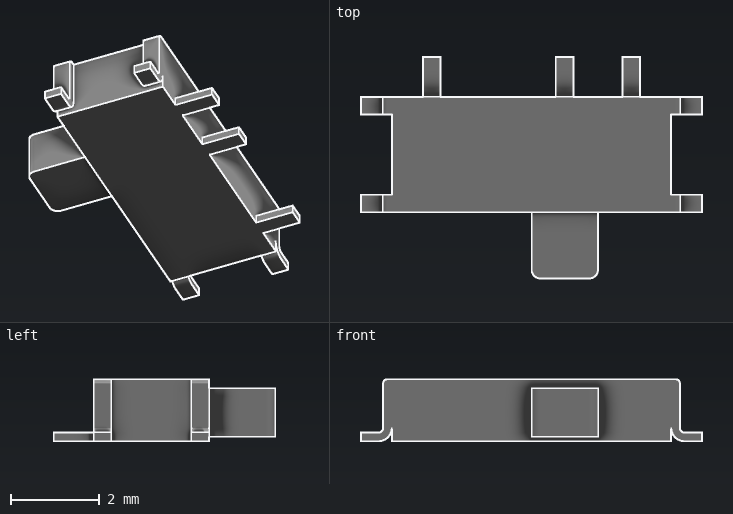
import cadquery as cq

total_length = 7.7
total_depth = 5.0
height = 1.4

sheet_thickness = 0.2
strip_width = 0.4
inner_bend_radius = 0.1
outer_bend_radius = inner_bend_radius + sheet_thickness

foot_length = 0.5
leg_outer_x = total_length / 2 - foot_length
housing_half_length = leg_outer_x - sheet_thickness
housing_depth = 2.6
top_corner_radius = 0.1

terminal_length = 0.9
outer_terminal_x = 2.25
inner_terminal_x = 0.75
terminal_positions = (-outer_terminal_x, inner_terminal_x, outer_terminal_x)

knob_width = 1.5
knob_height = 1.1
knob_bottom = 0.1
knob_length = total_depth - housing_depth - terminal_length
knob_corner_radius = 0.2

front_y = -housing_depth / 2
back_y = housing_depth / 2


def block(x, y, z, length, depth, tall):
    """Box placed by its lowest corner."""
    return cq.Workplane("XY").box(length, depth, tall, centered=False).translate((x, y, z))


def right_leg(start_y):
    """Strip running down the right end of the housing and bending out into a foot."""
    bend_x = leg_outer_x + inner_bend_radius
    bend_z = outer_bend_radius
    profile = (
        cq.Workplane("XZ")
        .moveTo(housing_half_length, height)
        .lineTo(leg_outer_x - top_corner_radius, height)
        .radiusArc((leg_outer_x, height - top_corner_radius), top_corner_radius)
        .lineTo(leg_outer_x, bend_z)
        .radiusArc((bend_x, sheet_thickness), -inner_bend_radius)
        .lineTo(total_length / 2, sheet_thickness)
        .lineTo(total_length / 2, 0)
        .lineTo(bend_x, 0)
        .radiusArc((housing_half_length, bend_z), outer_bend_radius)
        .close()
    )
    return profile.extrude(-strip_width).translate((0, start_y, 0))


def knob():
    """Slider knob with its two front upright edges rounded."""
    body = block(0, front_y - knob_length, knob_bottom, knob_width, knob_length, knob_height)
    return body.faces("<Y").edges("|Z").fillet(knob_corner_radius)


housing = block(-housing_half_length, front_y, 0, 2 * housing_half_length, housing_depth, height)
result = housing.union(knob())

for leg_y in (front_y, back_y - strip_width):
    leg = right_leg(leg_y)
    result = result.union(leg).union(leg.mirror("YZ"))

for terminal_x in terminal_positions:
    left_x = terminal_x - strip_width / 2
    result = result.union(block(left_x, back_y, 0, strip_width, terminal_length, sheet_thickness))